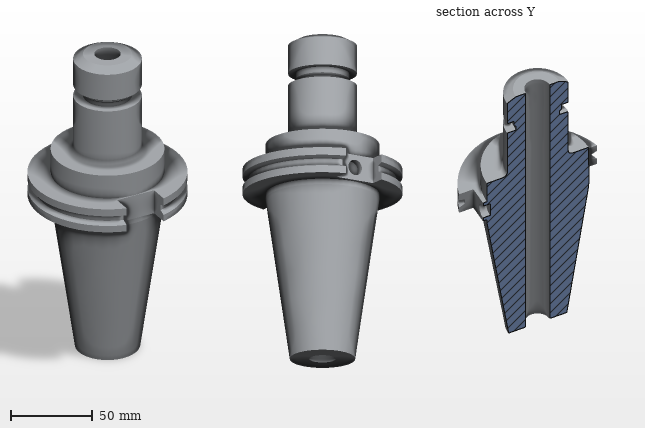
import cadquery as cq

total_height = 203.2
taper_height = 101.5
flange_bottom = 105.0
flange_top = 121.1
shoulder_top = 137.0
body_top = 174.3
neck_top = 177.2
collar_bottom = 178.5
nut_bottom = 182.0
nut_chamfer_height = 3.3

shoulder_radius = 35.0
taper_ratio = 7 / 24
taper_end_radius = shoulder_radius - taper_height * taper_ratio / 2
flange_radius = 49.2
body_radius = 21.1
body_fillet = 3.0
neck_radius = 15.0
collar_radius = 16.5
nut_face_radius = 15.0
bore_radius = 8.1

groove_bottom = 109.5
groove_top = 116.2
groove_floor_bottom = 111.2
groove_floor_top = 114.8
groove_floor_radius = 45.5

slot_width = 26.0
left_slot_floor = 37.5
right_slot_floor = 35.4

dimple_radius = 4.9
dimple_depth = 4.9


def make_turned_body():
    """Taper, grooved flange, shoulder, filleted body and nut as one revolved profile."""
    return (
        cq.Workplane("XZ")
        .moveTo(bore_radius, 0)
        .lineTo(taper_end_radius, 0)
        .lineTo(shoulder_radius, taper_height)
        .lineTo(shoulder_radius, flange_bottom)
        .lineTo(flange_radius, flange_bottom)
        .lineTo(flange_radius, groove_bottom)
        .lineTo(groove_floor_radius, groove_floor_bottom)
        .lineTo(groove_floor_radius, groove_floor_top)
        .lineTo(flange_radius, groove_top)
        .lineTo(flange_radius, flange_top)
        .lineTo(shoulder_radius, flange_top)
        .lineTo(shoulder_radius, shoulder_top)
        .lineTo(body_radius + body_fillet, shoulder_top)
        .radiusArc((body_radius, shoulder_top + body_fillet), body_fillet)
        .lineTo(body_radius, body_top)
        .lineTo(neck_radius, body_top)
        .lineTo(neck_radius, neck_top)
        .lineTo(collar_radius, collar_bottom)
        .lineTo(collar_radius, nut_bottom)
        .lineTo(body_radius, nut_bottom)
        .lineTo(body_radius, total_height - nut_chamfer_height)
        .lineTo(nut_face_radius, total_height)
        .lineTo(bore_radius, total_height)
        .close()
        .revolve(360, (0, 0, 0), (0, 1, 0))
    )


def make_slot_cutter(side, floor_distance):
    """Block outside a slot floor; side is -1 for -X and +1 for +X."""
    return (
        cq.Workplane("XY", origin=(side * (floor_distance + flange_radius / 2), 0, flange_bottom))
        .box(flange_radius, slot_width, flange_top - flange_bottom, centered=(True, True, False))
    )


def make_dimple_cutter():
    """Cylinder running inward from the left slot floor at mid-flange height."""
    flange_middle = (flange_bottom + flange_top) / 2
    return (
        cq.Workplane("YZ", origin=(-left_slot_floor, 0, flange_middle))
        .circle(dimple_radius)
        .extrude(dimple_depth)
    )


result = (
    make_turned_body()
    .cut(make_slot_cutter(-1, left_slot_floor))
    .cut(make_slot_cutter(1, right_slot_floor))
    .cut(make_dimple_cutter())
)